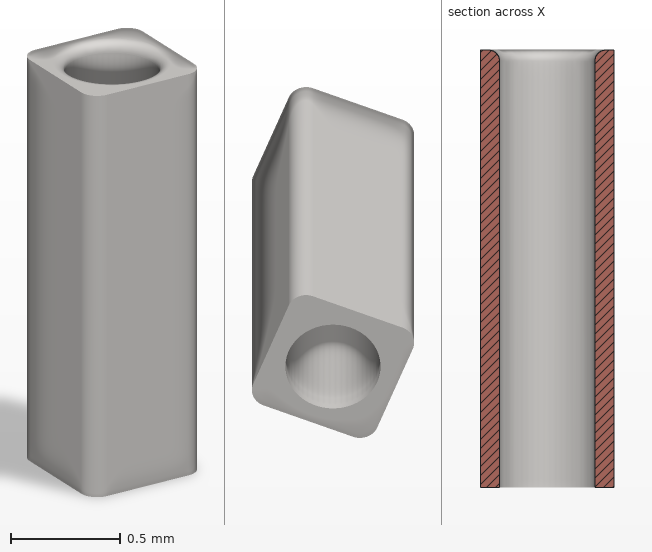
import cadquery as cq

side = 0.61
length = 2.0
corner_radius = 0.085
bore_diameter = 0.435
mouth_radius = 0.05


def square_bar():
    """Square bar standing on Z = 0 with rounded long edges."""
    bar = cq.Workplane("XY").box(side, side, length, centered=(True, True, False))
    return bar.edges("|Z").fillet(corner_radius)


def cut_bore(bar):
    """Cut the round bore along the full length."""
    return bar.faces(">Z").workplane().hole(bore_diameter)


def round_mouth(bar):
    """Round the bore edge where it meets the top face."""
    mouth_edge = cq.selectors.RadiusNthSelector(-1)
    return bar.faces(">Z").edges(mouth_edge).fillet(mouth_radius)


result = round_mouth(cut_bore(square_bar()))